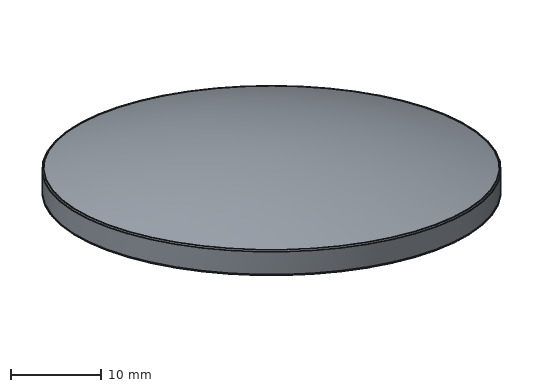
import cadquery as cq
import math

diameter = 50.8
center_thickness = 6.65
edge_thickness = 3.0
bevel_face_width = 0.25

radius = diameter / 2
bevel = bevel_face_width / math.sqrt(2)
sagitta = center_thickness - edge_thickness
dome_radius = (radius**2 + sagitta**2) / (2 * sagitta)
dome_center_z = center_thickness - dome_radius


def dome_height(distance):
    """Height of the dome surface at a distance from the optical axis."""
    return dome_center_z + math.sqrt(dome_radius**2 - distance**2)


def lens_blank():
    """Half profile of the lens revolved about the optical axis."""
    face_radius = radius - bevel
    dome_edge_z = dome_height(face_radius)
    middle = face_radius / 2
    profile = (
        cq.Workplane("XZ")
        .lineTo(face_radius, 0)
        .lineTo(radius, bevel)
        .lineTo(radius, dome_edge_z - bevel)
        .lineTo(face_radius, dome_edge_z)
        .threePointArc((middle, dome_height(middle)), (0, center_thickness))
        .close()
    )
    return profile.revolve(360, (0, 0, 0), (0, 1, 0))


result = lens_blank()